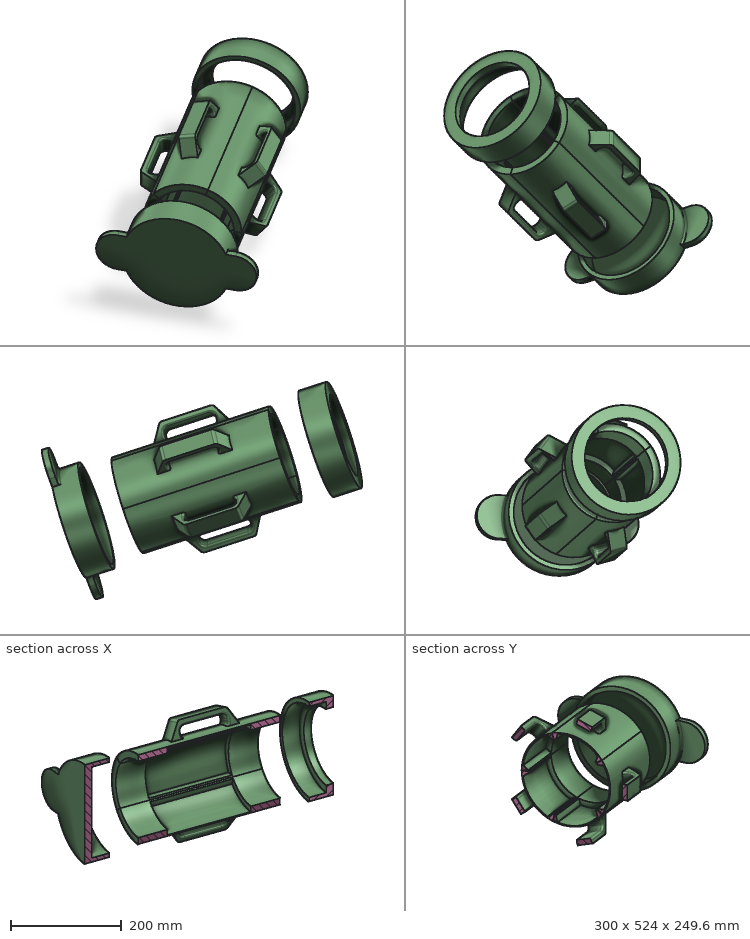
import cadquery as cq
import math

total_length = 524.0
cap_length = 52.0
tube_length = 299.5

stave_count = 5
stave_angle = 360.0 / stave_count
tube_diameter = 182.5
tube_radius = tube_diameter / 2
tube_bore_diameter = 154.0
pocket_diameter = 176.0
pocket_width = 85.0
pocket_length = 175.0

handle_root = 78.5
handle_height = 126.0
handle_width = 32.0
handle_base_half = 78.0
handle_side_slope = math.radians(30)
handle_top_half = handle_base_half - (handle_height - handle_root) * math.tan(handle_side_slope)
handle_corner_radius = 8.0
slot_center = 101.0
slot_height = 26.0
slot_half_length = 50.0
slot_corner_radius = 11.0
slot_edge_radius = 4.0

cap_diameter = 202.5
cap_bore_diameter = 184.0
cap_wall = 15.5
lip_bore_diameter = 154.0

ear_span = 300.0
ear_width = 80.0
ear_thickness = 12.0
ear_fillet_radius = 4.0

pick_margin = 0.5


def cylinder(diameter, y_start, length):
    """Solid cylinder along +Y starting at y_start."""
    return cq.Workplane("XZ", origin=(0, y_start, 0)).circle(diameter / 2).extrude(-length)


def make_handle():
    """Grip pointing along +X, with a rounded finger slot through it."""
    base_plane = cq.Workplane("XY", origin=(0, 0, -handle_width / 2))
    grip = (
        base_plane
        .polyline([
            (handle_root, -handle_base_half),
            (handle_height, -handle_top_half),
            (handle_height, handle_top_half),
            (handle_root, handle_base_half),
        ])
        .close()
        .extrude(handle_width)
        .edges("|Z and >X")
        .fillet(handle_corner_radius)
    )
    slot = (
        cq.Workplane("XY", origin=(slot_center, 0, -handle_width / 2))
        .rect(slot_height, 2 * slot_half_length)
        .extrude(handle_width)
        .edges("|Z")
        .fillet(slot_corner_radius)
    )
    reach_x = slot_height / 2 + pick_margin
    reach_y = slot_half_length + pick_margin
    slot_edges = cq.selectors.BoxSelector(
        (slot_center - reach_x, -reach_y, -handle_width),
        (slot_center + reach_x, reach_y, handle_width),
    )
    return grip.cut(slot).edges(slot_edges).edges("#Z").fillet(slot_edge_radius)


def make_stave():
    """One sector of the tube wall, centred on +X, with its handle and inner pocket."""
    y_start = -tube_length / 2
    reach = tube_diameter
    half_spread = reach * math.tan(math.radians(stave_angle / 2))
    sector = (
        cq.Workplane("XZ", origin=(0, y_start, 0))
        .polyline([(0, 0), (reach, -half_spread), (reach, half_spread)])
        .close()
        .extrude(-tube_length)
    )
    wall = (
        cylinder(tube_diameter, y_start, tube_length)
        .cut(cylinder(tube_bore_diameter, y_start, tube_length))
        .intersect(sector)
    )
    pocket_slab = (
        cq.Workplane("XY", origin=(tube_radius, 0, 0))
        .box(tube_diameter, pocket_length, pocket_width)
    )
    pocket = cylinder(pocket_diameter, -pocket_length / 2, pocket_length).intersect(pocket_slab)
    return wall.union(make_handle()).cut(pocket)


def make_ring():
    """Open cap with a bore for the tube and an inward lip at its outer end."""
    y_start = total_length / 2 - cap_length
    return (
        cylinder(cap_diameter, y_start, cap_length)
        .cut(cylinder(cap_bore_diameter, y_start, cap_length - cap_wall))
        .cut(cylinder(lip_bore_diameter, y_start, cap_length))
    )


def make_lid():
    """Closed cap with two rounded ears, filleted where they meet the cap."""
    y_start = -total_length / 2
    ears = (
        cq.Workplane("XZ", origin=(0, y_start, 0))
        .slot2D(ear_span, ear_width)
        .extrude(-ear_thickness)
    )
    reach_x = cap_diameter / 2 + pick_margin / 2
    reach_z = ear_width / 2 + pick_margin / 2
    ear_root_edges = cq.selectors.BoxSelector(
        (-reach_x, y_start + pick_margin, -reach_z),
        (reach_x, y_start + ear_thickness + pick_margin / 2, reach_z),
        boundingbox=True,
    )
    lid = cylinder(cap_diameter, y_start, cap_length).union(ears)
    lid = lid.edges(ear_root_edges).fillet(ear_fillet_radius)
    return lid.cut(cylinder(cap_bore_diameter, y_start + cap_wall, cap_length))


ring = make_ring()
lid = make_lid()
stave = make_stave()
staves = [
    stave.rotate((0, 0, 0), (0, 1, 0), -(index + 0.5) * stave_angle)
    for index in range(stave_count)
]

result = cq.Compound.makeCompound([ring.val(), lid.val(), *[piece.val() for piece in staves]])